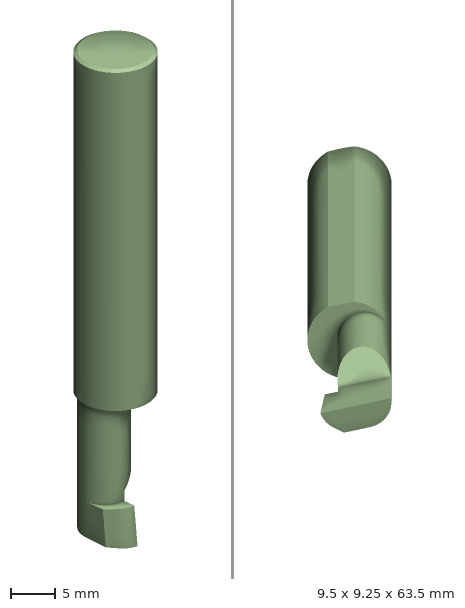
import cadquery as cq

total_length = 63.5
shank_radius = 4.75
shank_bottom = 19.1
flat_offset = 4.5
chamfer_width = 0.45
chamfer_height = 0.25

neck_radius = 3.05
neck_x = neck_radius - shank_radius

relief_bottom = 6.4

head_top = 5.15
head_lean = 0.5
head_tip_x = 2.85
bevel_start_x = 0.8
bevel_width = 0.95
bevel_depth = 0.9
nose_bulge_x = 2.55
nose_bulge_y = -1.15
tip_x = head_tip_x + head_lean

end_slope_x = 0.04
end_slope_y = 0.09
cutter_size = 38.1
cutter_depth = 3.2


def make_shank():
    """Round shank with a chamfered upper end and a flat along +Y."""
    length = total_length - shank_bottom
    shank = cq.Workplane("XY").workplane(offset=shank_bottom).circle(shank_radius).extrude(length)
    shank = shank.faces(">Z").chamfer(chamfer_height, chamfer_width)
    flat_cutter = (
        cq.Workplane("XY")
        .box(cutter_size, cutter_size, length, centered=(True, False, False))
        .translate((0, flat_offset, shank_bottom))
    )
    return shank.cut(flat_cutter)


def make_neck():
    """Eccentric round neck, cut back to its axis plane below a 45 degree run-out."""
    neck = cq.Workplane("XY").center(neck_x, 0).circle(neck_radius).extrude(shank_bottom)
    relief = (
        cq.Workplane("YZ")
        .moveTo(0, 0)
        .lineTo(0, relief_bottom)
        .lineTo(shank_radius, relief_bottom + shank_radius)
        .lineTo(shank_radius, 0)
        .close()
        .extrude(cutter_size / 2, both=True)
    )
    return neck.cut(relief)


def head_section(sketch, shift):
    """Add the head outline, with its outer flank moved outward by shift."""
    bevel_end_x = bevel_start_x + bevel_width + shift
    bevel_end_y = bevel_depth - neck_radius
    return (
        sketch.moveTo(neck_x, 0)
        .lineTo(neck_x, -neck_radius)
        .lineTo(bevel_start_x + shift, -neck_radius)
        .lineTo(bevel_end_x, bevel_end_y)
        .threePointArc((nose_bulge_x + shift, nose_bulge_y), (head_tip_x + shift, 0))
        .close()
    )


def make_head():
    """Cutting head lofted between its wide lower and narrow upper outlines."""
    lower = head_section(cq.Workplane("XY"), head_lean)
    upper = head_section(lower.workplane(offset=head_top), 0)
    return upper.loft(ruled=True, combine=True)


def make_end_cutter():
    """Block below the end face, which rises away from the cutting corner."""
    end_plane = cq.Plane(origin=(tip_x, 0, 0), normal=(end_slope_x, end_slope_y, 1))
    return cq.Workplane(end_plane).rect(cutter_size, cutter_size).extrude(-cutter_depth)


result = make_shank().union(make_neck()).union(make_head()).cut(make_end_cutter())